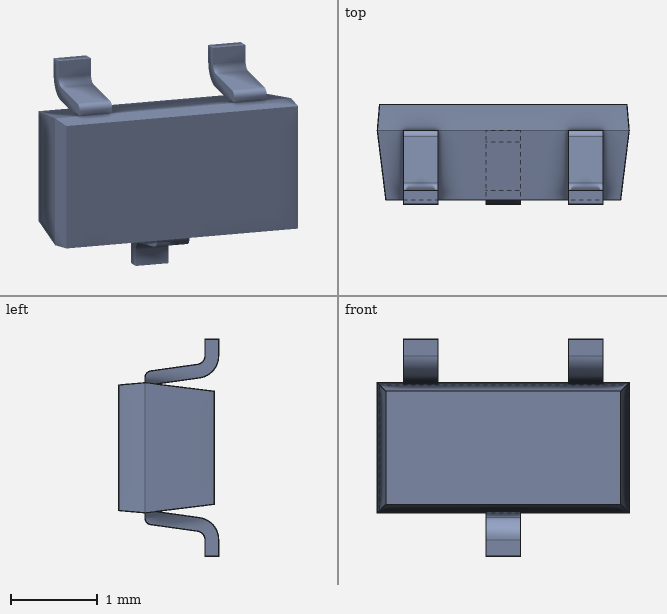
import cadquery as cq
import math

housing_width = 2.9
housing_height = 1.5
front_depth = 0.8
rear_depth = 0.302
front_inset = 0.1
rear_inset = 0.025

overall_height = 2.5
lead_width = 0.4
lead_thickness = 0.16
lead_reach = 0.85
lead_spacing = 1.9
foot_length = 0.19
inner_bend_radius = 0.1
outer_bend_radius = inner_bend_radius + lead_thickness
lead_slope = math.radians(8)
root_round = 0.078


def housing_half(depth, inset):
    """Half of the housing, narrowing from the parting plane; positive depth goes toward -Y."""
    return (
        cq.Workplane("XZ")
        .rect(housing_width, housing_height)
        .workplane(offset=depth)
        .rect(housing_width - 2 * inset, housing_height - 2 * inset)
        .loft(ruled=True, combine=True)
    )


def make_package():
    return housing_half(front_depth, front_inset).union(housing_half(-rear_depth, rear_inset))


def make_lead(x_centre, package):
    """Upper lead, trimmed where its root meets the sloping housing wall."""
    tip_z = overall_height / 2
    bend_y = -lead_reach + outer_bend_radius
    bend_z = tip_z - foot_length

    def bend_point(radius, angle):
        return (bend_y - radius * math.sin(angle), bend_z - radius * math.cos(angle))

    def root_point(radius):
        y, z = bend_point(radius, lead_slope)
        return (0, z + y * math.tan(lead_slope))

    mid_bend = (lead_slope + math.pi / 2) / 2
    strip = (
        cq.Workplane("YZ", origin=(x_centre - lead_width / 2, 0, 0))
        .moveTo(-lead_reach, tip_z)
        .lineTo(-lead_reach, bend_z)
        .threePointArc(bend_point(outer_bend_radius, mid_bend), bend_point(outer_bend_radius, lead_slope))
        .lineTo(*root_point(outer_bend_radius))
        .lineTo(*root_point(inner_bend_radius))
        .lineTo(*bend_point(inner_bend_radius, lead_slope))
        .threePointArc(bend_point(inner_bend_radius, mid_bend), (bend_y - inner_bend_radius, bend_z))
        .lineTo(bend_y - inner_bend_radius, tip_z)
        .close()
        .extrude(lead_width)
    )
    root_edge = cq.selectors.NearestToPointSelector((x_centre, *root_point(inner_bend_radius)))
    return strip.edges(root_edge).fillet(root_round).cut(package)


package = make_package()

upper_leads = [make_lead(side * lead_spacing / 2, package) for side in (-1, 1)]

lower_lead = make_lead(0, package).mirror("XY")
housing = package.union(lower_lead)

result = cq.Compound.makeCompound([housing.solids().val(), *[lead.solids().val() for lead in upper_leads]])